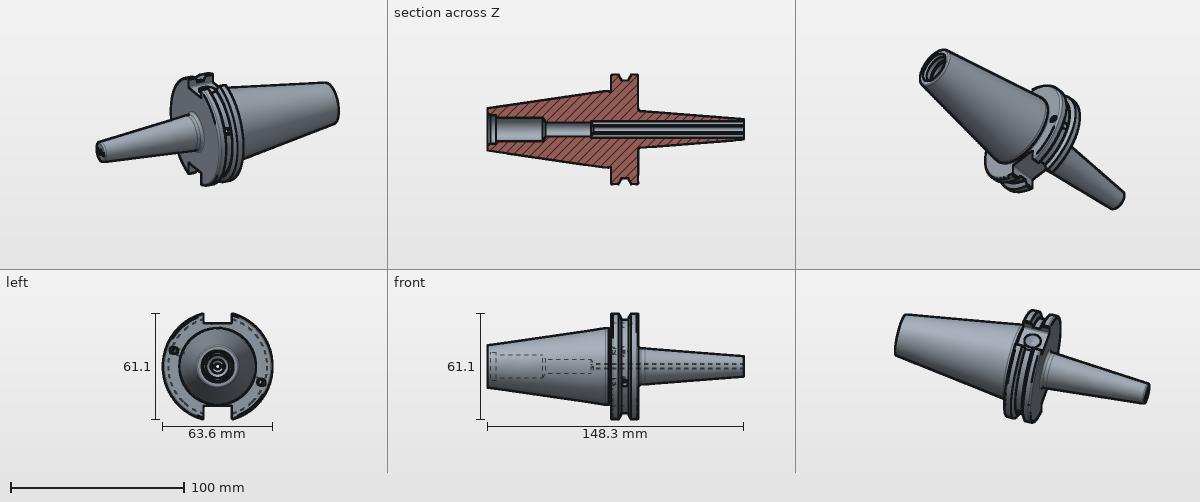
import cadquery as cq
import math


gauge_dia = 44.45
taper_per_length = 7 / 24
shank_length = 68.25
shank_end_fillet = 0.8
gauge_land_end = 1.8
neck_dia = 43.6
neck_start = 2.2
neck_fillet = 0.3

flange_dia = 63.55
flange_start = 3.1
flange_end = 19.0
flange_fillet = 1.1
groove_centre = 11.15
groove_dia = 56.5
groove_floor_width = 4.0
groove_wall_height = 0.6
groove_flank_angle = 30

slot_width = 16.2
slot_floor_fillet = 0.5
slot_rim_chamfer = 0.65
slot_floor_top = 25.0
slot_floor_bottom = 22.8
dimple_dia = 9.53
dimple_tip_angle = 118

nose_end = 80.0
nose_root_dia = 21.0
nose_root_fillet = 1.6
nose_taper_start = 22.7
nose_taper_angle = 4.5
nose_end_fillet = 1.0

mouth_dia = 18.5
mouth_depth = 1.8
counterbore_dia = 16.3
counterbore_depth = 5.0
thread_bore_dia = 13.39
thread_bore_depth = 32.0
coolant_bore_dia = 8.0
coolant_bore_depth = 60.0
drill_tip_angle = 118
through_dia = 3.17
jet_dia = 2.0
jet_radius = 3.7

port_angle = 20
port_radius = 27.05
port_tilt = 32
port_mouth_dia = 4.0
port_mouth_depth = 1.85
port_dia = 3.24
groove_port_dia = 4.0
port_overshoot = 0.5


def cone_height(large_dia, small_dia, tip_angle):
    """Length of a drill-point cone between two diameters."""
    return (large_dia - small_dia) / 2 / math.tan(math.radians(tip_angle / 2))


def revolve_about_x(profile):
    return profile.close().revolve(360, (0, 0, 0), (1, 0, 0))


def cylinder(start, direction, diameter, length):
    return cq.Workplane(cq.Solid.makeCylinder(diameter / 2, length, start, direction))


def fillet_ring(body, x, diameter, size):
    """Rounds the circular edge of the given diameter at the given x."""
    margin = 0.01
    reach = diameter / 2 + margin
    low_corner = (x - margin, -reach, -reach)
    high_corner = (x + margin, reach, reach)
    nearby = body.edges(cq.selectors.BoxSelector(low_corner, high_corner, True)).vals()
    rings = [edge for edge in nearby if abs(edge.radius() - diameter / 2) < margin]
    return body.newObject(rings).fillet(size)


def make_body():
    shank_end_dia = gauge_dia - shank_length * taper_per_length
    nose_drop = (nose_end - nose_taper_start) * math.tan(math.radians(nose_taper_angle))
    nose_end_dia = nose_root_dia - 2 * nose_drop
    floor_half = groove_floor_width / 2
    wall_top = groove_dia / 2 + groove_wall_height
    flank_height = flange_dia / 2 - wall_top
    mouth_half = floor_half + flank_height * math.tan(math.radians(groove_flank_angle))
    body = revolve_about_x(
        cq.Workplane("XY")
        .moveTo(-shank_length, 0)
        .lineTo(-shank_length, shank_end_dia / 2)
        .lineTo(0, gauge_dia / 2)
        .lineTo(gauge_land_end, gauge_dia / 2)
        .lineTo(neck_start, neck_dia / 2)
        .lineTo(flange_start, neck_dia / 2)
        .lineTo(flange_start, flange_dia / 2)
        .lineTo(groove_centre - mouth_half, flange_dia / 2)
        .lineTo(groove_centre - floor_half, wall_top)
        .lineTo(groove_centre - floor_half, groove_dia / 2)
        .lineTo(groove_centre + floor_half, groove_dia / 2)
        .lineTo(groove_centre + floor_half, wall_top)
        .lineTo(groove_centre + mouth_half, flange_dia / 2)
        .lineTo(flange_end, flange_dia / 2)
        .lineTo(flange_end, nose_root_dia / 2)
        .lineTo(nose_taper_start, nose_root_dia / 2)
        .lineTo(nose_end, nose_end_dia / 2)
        .lineTo(nose_end, 0)
    )
    rings = [
        (-shank_length, shank_end_dia, shank_end_fillet),
        (flange_start, neck_dia, neck_fillet),
        (flange_start, flange_dia, flange_fillet),
        (flange_end, flange_dia, flange_fillet),
        (flange_end, nose_root_dia, nose_root_fillet),
        (nose_end, nose_end_dia, nose_end_fillet),
    ]
    for x, diameter, size in rings:
        body = fillet_ring(body, x, diameter, size)
    return body


def make_drive_slot(floor):
    """Slot open upwards, with rounded floor corners and walls flared where they meet the flange rim."""
    half_width = slot_width / 2
    rim_half_width = half_width + slot_rim_chamfer
    rim_height = math.sqrt((flange_dia / 2) ** 2 - rim_half_width**2)
    flare_rise = flange_dia / 2 - rim_height + slot_rim_chamfer
    slot = (
        cq.Workplane("YZ", origin=(flange_start, 0, 0))
        .moveTo(-half_width, floor)
        .lineTo(half_width, floor)
        .lineTo(half_width, rim_height - slot_rim_chamfer)
        .lineTo(half_width + flare_rise, flange_dia / 2)
        .lineTo(-half_width - flare_rise, flange_dia / 2)
        .lineTo(-half_width, rim_height - slot_rim_chamfer)
        .close()
        .extrude(flange_end - flange_start)
    )
    return slot.edges("|X and <Z").fillet(slot_floor_fillet)


def cut_drive_slots(body):
    top_slot = make_drive_slot(slot_floor_top)
    bottom_slot = make_drive_slot(slot_floor_bottom).rotate((0, 0, 0), (1, 0, 0), 180)
    body = body.cut(top_slot).cut(bottom_slot)
    dimple_depth = cone_height(dimple_dia, 0, dimple_tip_angle)
    dimple_centre = cq.Vector(groove_centre, 0, slot_floor_top)
    dimple = cq.Solid.makeCone(dimple_dia / 2, 0, dimple_depth, dimple_centre, cq.Vector(0, 0, -1))
    return body.cut(cq.Workplane(dimple))


def cut_bore(body):
    mouth_x = -shank_length
    thread_end = mouth_x + thread_bore_depth
    coolant_start = thread_end + cone_height(thread_bore_dia, coolant_bore_dia, drill_tip_angle)
    coolant_end = mouth_x + coolant_bore_depth
    tip_end = coolant_end + cone_height(coolant_bore_dia, through_dia, drill_tip_angle)
    bore = revolve_about_x(
        cq.Workplane("XY")
        .moveTo(mouth_x, 0)
        .lineTo(mouth_x, mouth_dia / 2)
        .lineTo(mouth_x + mouth_depth, counterbore_dia / 2)
        .lineTo(mouth_x + counterbore_depth, counterbore_dia / 2)
        .lineTo(mouth_x + counterbore_depth, thread_bore_dia / 2)
        .lineTo(thread_end, thread_bore_dia / 2)
        .lineTo(coolant_start, coolant_bore_dia / 2)
        .lineTo(coolant_end, coolant_bore_dia / 2)
        .lineTo(tip_end, through_dia / 2)
        .lineTo(nose_end, through_dia / 2)
        .lineTo(nose_end, 0)
    )
    body = body.cut(bore)
    for side in (1, -1):
        start = cq.Vector(coolant_end, side * jet_radius, 0)
        body = body.cut(cylinder(start, cq.Vector(1, 0, 0), jet_dia, nose_end - coolant_end))
    return body


def cut_coolant_ports(body):
    """Two tilted ports in the shank-side face, each met by a radial port from the groove."""
    tilt = math.radians(port_tilt)
    meeting_radius = port_radius - (groove_centre - flange_start) * math.tan(tilt)
    meeting_length = (groove_centre - flange_start) / math.cos(tilt)
    angle = math.radians(port_angle)
    port_direction = cq.Vector(0, math.cos(angle), math.sin(angle))
    for outward in (port_direction, port_direction * -1):
        inward_tilt = cq.Vector(math.cos(tilt), 0, 0) - outward * math.sin(tilt)
        mouth = cq.Vector(flange_start, 0, 0) + outward * port_radius
        lead_in = port_mouth_dia
        mouth_length = lead_in + port_mouth_depth
        body = body.cut(cylinder(mouth - inward_tilt * lead_in, inward_tilt, port_mouth_dia, mouth_length))
        body = body.cut(cylinder(mouth, inward_tilt, port_dia, meeting_length))
        meeting = cq.Vector(groove_centre, 0, 0) + outward * meeting_radius
        groove_port_length = groove_dia / 2 - meeting_radius + port_overshoot
        body = body.cut(cylinder(meeting, outward, groove_port_dia, groove_port_length))
    return body


result = cut_coolant_ports(cut_bore(cut_drive_slots(make_body())))